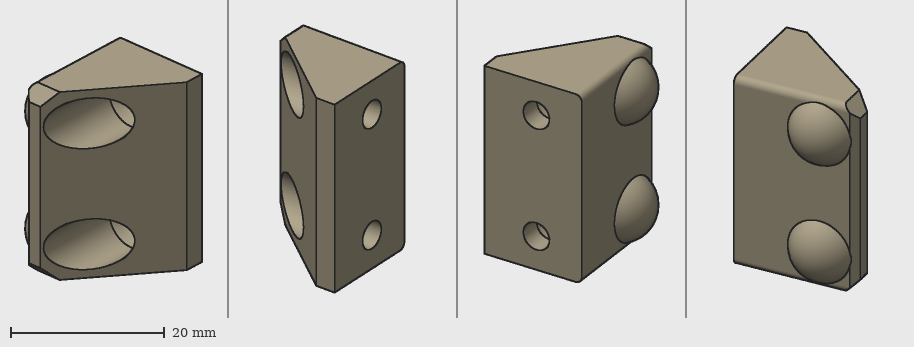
import cadquery as cq

height = 28.0
width = 15.0
depth = 18.0
edge_thickness = 3.0
tip_chamfer = 1.0
tip_width = 2.0
end_chamfer = 2.0
wall_fillet = 1.0

dome_rise = 3.0
dome_radius = 5.0
dome_y = -12.5
dome_spacing = 17.5

hole_x = 7.0
hole_spacing = 18.0
hole_diameter = 4.0
head_diameter = 7.5
seat_y = -5.0


def wedge():
    profile = [
        (0, 0),
        (width, 0),
        (width, -edge_thickness),
        (tip_chamfer + tip_width, -depth),
        (tip_chamfer, -depth),
        (0, tip_chamfer - depth),
    ]
    body = cq.Workplane("XY").polyline(profile).close().extrude(height / 2, both=True)
    body = body.faces("<Y").edges("|X").chamfer(end_chamfer)
    return body.faces("<X").edges("|Y").fillet(wall_fillet)


def dome(z):
    """Cap of a sphere on the side wall, rooted as deep as the nose chamfer."""
    ball = cq.Workplane("XY").sphere(dome_radius)
    ball = ball.translate((dome_radius - dome_rise, dome_y, z))
    size = 2 * dome_radius
    cap_box = cq.Workplane("XY").box(size, size, size)
    cap_box = cap_box.translate((tip_chamfer - dome_radius, dome_y, z))
    return ball.intersect(cap_box)


def screw_hole(z):
    """Cutter: through hole, 90 degree conical seat and head clearance bore."""
    hole_radius = hole_diameter / 2
    head_radius = head_diameter / 2
    seat_end_y = seat_y + head_radius - hole_radius
    half_section = [
        (0, 0),
        (hole_radius, 0),
        (hole_radius, seat_end_y),
        (head_radius, seat_y),
        (head_radius, -depth),
        (0, -depth),
    ]
    cutter = cq.Workplane("XY").polyline(half_section).close().revolve(360, (0, 0), (0, 1))
    return cutter.translate((hole_x, 0, z))


result = wedge()
for side in (-1, 1):
    result = result.cut(screw_hole(side * hole_spacing / 2))
    result = result.union(dome(side * dome_spacing / 2))